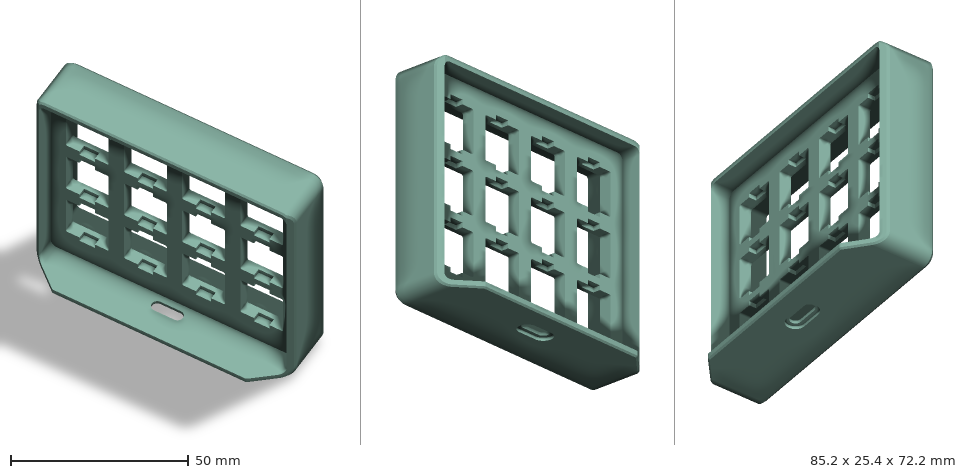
import cadquery as cq


width = 85.2
depth = 25.4
height = 72.2
outer_radius = 4.0
wall = outer_radius / 2
inner_radius = outer_radius - wall
back_chamfer = 1.0
front_chamfer = 0.5

rim_depth = 18.1
side_depth = 16.3
flange_inset = 10.8
flange_corner_radius = 1.0

plate_thickness = 4.0
well_depth = 7.5
plate_front = well_depth + plate_thickness

columns = 4
rows = 3
pitch = 19.1
window = 14.1
window_radius = 0.5
grid_center_z = 37.1

notch_width = 5.0
notch_reach = 1.45
notch_depth = 2.5

well_margin = 1.2
well_width = columns * pitch + well_margin
well_height = rows * pitch + well_margin
well_radius = 1.0

slot_length = 10.2
slot_width = 3.6
slot_from_back = 15.4
recess_depth = wall / 2
recess_margin = 1.3


def block(size_x, size_z, center_z, near, far):
    """Box centred in X, between two distances in front of the back face."""
    return (
        cq.Workplane("XZ", origin=(0, -near, center_z))
        .rect(size_x, size_z)
        .extrude(far - near)
    )


def rounded_block(size_x, size_z, center_z, near, far, radius):
    """Block with its four edges along Y rounded."""
    return block(size_x, size_z, center_z, near, far).edges("|Y").fillet(radius)


def plan_prism():
    """Upright prism whose front tapers from the sides to the flange edge."""
    flange_half = width / 2 - flange_inset
    return (
        cq.Workplane("XY")
        .polyline([
            (-width / 2, 0),
            (-width / 2, -side_depth),
            (-flange_half, -depth),
            (flange_half, -depth),
            (width / 2, -side_depth),
            (width / 2, 0),
        ])
        .close()
        .extrude(height)
        .edges("|Z and <Y")
        .fillet(flange_corner_radius)
    )


def housing():
    """Outer body with its rim cut back above the flange and its outer edges chamfered."""
    body = rounded_block(width, height, height / 2, 0, depth, outer_radius)
    body = body.faces(">Y").chamfer(back_chamfer)
    body = body.intersect(plan_prism())
    above_flange = height - outer_radius
    body = body.cut(
        block(width, above_flange, outer_radius + above_flange / 2, rim_depth, depth)
    )

    core = block(width - wall, height - wall, height / 2, 0, depth + wall).val()
    front_edges = body.edges(
        cq.selectors.BoxSelector(
            (-width, -side_depth + front_chamfer, -height), (width, -2 * depth, 2 * height)
        )
    )
    outer_edges = front_edges.filter(lambda edge: not core.isInside(edge.Center()))
    return outer_edges.chamfer(front_chamfer)


def cavity():
    """Space in front of the plate, open to the front."""
    return rounded_block(
        width - 2 * wall, height - 2 * wall, height / 2, plate_front, depth, inner_radius
    )


def well():
    """Recess behind the plate, open to the back."""
    return rounded_block(well_width, well_height, grid_center_z, 0, well_depth, well_radius)


def key_opening():
    """One window through the plate with its pair of clip notches."""
    opening = rounded_block(
        window, window, grid_center_z, well_depth, plate_front, window_radius
    )
    notches = block(
        notch_width, window + 2 * notch_reach, grid_center_z,
        plate_front - notch_depth, plate_front,
    )
    return opening.union(notches)


def slot_cutter(margin, cut_height):
    """Slot lengthwise along X, rising from the underside of the flange."""
    return (
        cq.Workplane("XY")
        .center(0, -slot_from_back)
        .slot2D(slot_length + 2 * margin, slot_width + 2 * margin)
        .extrude(cut_height)
    )


def flange_slot():
    """Slot through the flange with its recess below."""
    return slot_cutter(0, wall).union(slot_cutter(recess_margin, recess_depth))


result = housing().cut(cavity()).cut(well()).cut(flange_slot())

opening = key_opening()
for column in range(columns):
    for row in range(rows):
        offset_x = (column - (columns - 1) / 2) * pitch
        offset_z = (row - (rows - 1) / 2) * pitch
        result = result.cut(opening.translate((offset_x, 0, offset_z)))